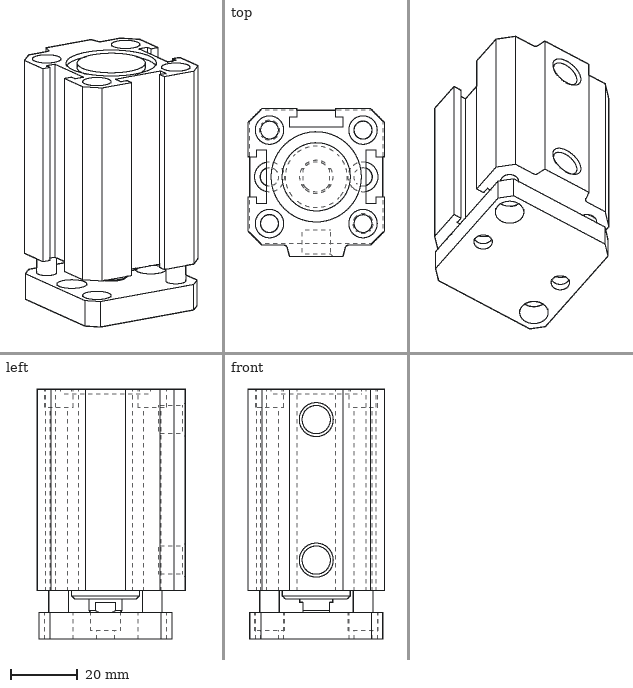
import cadquery as cq
import math

TOTAL_HEIGHT = 75.0
PLATE_THICKNESS = 8.0
PLATE_GAP = 6.5
PLATE_TOP = PLATE_THICKNESS
HOUSING_BOTTOM = PLATE_TOP + PLATE_GAP
HOUSING_HEIGHT = TOTAL_HEIGHT - HOUSING_BOTTOM

HOLE_OFFSET = 14.0

HOUSING_WIDTH = 41.0
HOUSING_CHAMFER = 4.2
HALF_WIDTH = HOUSING_WIDTH / 2

PORT_PAD_FACE_WIDTH = 16.05
PORT_PAD_HEIGHT = 3.45
PORT_PAD_FLANK_ANGLE = 15.0
PORT_PAD_ROOT_RADIUS = 1.0

SLOT_INNER_WIDTH = 16.05
SLOT_DEPTH = 5.55
SLOT_LIP_THICKNESS = 2.55
SIDE_SLOT_OPENING = 12.0
REAR_SLOT_OPENING = 11.6

CORNER_HOLE_DIAMETER = 5.3
CORNER_COUNTERBORE_DIAMETER = 8.55
CORNER_COUNTERBORE_DEPTH = 5.5

END_RECESS_DIAMETER = 27.1
END_RECESS_DEPTH = 1.5
END_DISC_DIAMETER = 20.5

PORT_DIAMETER = 8.5
PORT_MOUTH_DIAMETER = 10.2
PORT_DEPTH = 8.0
PORT_DISTANCE_FROM_ENDS = 9.15

COLLAR_DIAMETER = 20.5
COLLAR_HEIGHT = 2.55
COLLAR_CHAMFER = 1.0

PLATE_WIDTH = 40.0
PLATE_CHAMFER = 3.4
PLATE_CORNER_HOLE_DIAMETER = 8.55
PLATE_SIDE_HOLE_DIAMETER = 5.5
PLATE_SIDE_COUNTERBORE_DIAMETER = 9.0
PLATE_SIDE_COUNTERBORE_DEPTH = 5.5

PISTON_ROD_DIAMETER = 10.0
PISTON_ROD_END_DIAMETER = 9.0
PISTON_ROD_FLATS = 8.0
PISTON_ROD_ROUND_LENGTH = 1.0
GUIDE_ROD_DIAMETER = 6.0

ALL_CORNERS = [(sx * HOLE_OFFSET, sy * HOLE_OFFSET) for sx in (-1, 1) for sy in (-1, 1)]
OPEN_CORNERS = [(x, y) for x, y in ALL_CORNERS if x * y > 0]
GUIDE_ROD_CORNERS = [(x, y) for x, y in ALL_CORNERS if x * y < 0]


def cylinder(diameter, bottom, top, centres):
    """Vertical cylinders between two heights, one at each centre."""
    return (
        cq.Workplane("XY", origin=(0, 0, bottom))
        .pushPoints(centres)
        .circle(diameter / 2)
        .extrude(top - bottom)
    )


def chamfered_square(width, chamfer, bottom, top):
    """Square block with its four vertical edges chamfered."""
    return (
        cq.Workplane("XY", origin=(0, 0, bottom))
        .rect(width, width)
        .extrude(top - bottom)
        .edges("|Z")
        .chamfer(chamfer)
    )


def port_pad():
    """Tapered pad on the -Y side, with concave fillets where it meets the wall."""
    flank_angle = math.radians(PORT_PAD_FLANK_ANGLE)
    half_face = PORT_PAD_FACE_WIDTH / 2
    half_root = half_face + PORT_PAD_HEIGHT * math.tan(flank_angle)
    radius = PORT_PAD_ROOT_RADIUS

    tangent_length = radius * math.tan((math.pi / 2 - flank_angle) / 2)
    wall_y = -HALF_WIDTH
    face_y = wall_y - PORT_PAD_HEIGHT
    wall_x = half_root + tangent_length
    flank_x = half_root - tangent_length * math.sin(flank_angle)
    flank_y = wall_y - tangent_length * math.cos(flank_angle)
    mid_angle = (math.pi / 2 + flank_angle) / 2
    mid_x = wall_x - radius * math.cos(mid_angle)
    mid_y = wall_y - radius + radius * math.sin(mid_angle)

    return (
        cq.Workplane("XY", origin=(0, 0, HOUSING_BOTTOM))
        .moveTo(-half_face, face_y)
        .lineTo(half_face, face_y)
        .lineTo(flank_x, flank_y)
        .threePointArc((mid_x, mid_y), (wall_x, wall_y))
        .lineTo(wall_x, 0)
        .lineTo(-wall_x, 0)
        .lineTo(-wall_x, wall_y)
        .threePointArc((-mid_x, mid_y), (-flank_x, flank_y))
        .close()
        .extrude(HOUSING_HEIGHT)
    )


def t_slot(opening_width, turn):
    """Full-height T-slot cutter for the +X side, turned about Z by `turn` degrees."""
    slot_floor = HALF_WIDTH - SLOT_DEPTH
    lip_back = HALF_WIDTH - SLOT_LIP_THICKNESS
    section_start = cq.Workplane("XY", origin=(0, 0, HOUSING_BOTTOM))
    opening = (
        section_start
        .center((slot_floor + HALF_WIDTH) / 2, 0)
        .rect(SLOT_DEPTH, opening_width)
        .extrude(HOUSING_HEIGHT)
    )
    wide_part = (
        section_start
        .center((slot_floor + lip_back) / 2, 0)
        .rect(lip_back - slot_floor, SLOT_INNER_WIDTH)
        .extrude(HOUSING_HEIGHT)
    )
    return opening.union(wide_part).rotate((0, 0, 0), (0, 0, 1), turn)


def port(height):
    """Blind port cutter with a chamfered mouth, entering from the pad face."""
    face_y = -HALF_WIDTH - PORT_PAD_HEIGHT
    bore_radius = PORT_DIAMETER / 2
    mouth_radius = PORT_MOUTH_DIAMETER / 2
    chamfer = mouth_radius - bore_radius
    return (
        cq.Workplane("XY")
        .moveTo(0, face_y)
        .lineTo(mouth_radius, face_y)
        .lineTo(bore_radius, face_y + chamfer)
        .lineTo(bore_radius, face_y + PORT_DEPTH)
        .lineTo(0, face_y + PORT_DEPTH)
        .close()
        .revolve(360, (0, 0), (0, 1))
        .translate((0, 0, height))
    )


def make_housing():
    """Cylinder housing: slotted profile, ports, corner holes, end recess and rod collar."""
    body = chamfered_square(HOUSING_WIDTH, HOUSING_CHAMFER, HOUSING_BOTTOM, TOTAL_HEIGHT)
    body = body.union(port_pad())

    for opening, turn in ((SIDE_SLOT_OPENING, 0), (REAR_SLOT_OPENING, 90), (SIDE_SLOT_OPENING, 180)):
        body = body.cut(t_slot(opening, turn))

    for height in (HOUSING_BOTTOM + PORT_DISTANCE_FROM_ENDS, TOTAL_HEIGHT - PORT_DISTANCE_FROM_ENDS):
        body = body.cut(port(height))

    counterbore_floor = TOTAL_HEIGHT - CORNER_COUNTERBORE_DEPTH
    body = body.cut(cylinder(CORNER_HOLE_DIAMETER, HOUSING_BOTTOM, TOTAL_HEIGHT, ALL_CORNERS))
    body = body.cut(cylinder(CORNER_COUNTERBORE_DIAMETER, counterbore_floor, TOTAL_HEIGHT, ALL_CORNERS))

    recess_floor = TOTAL_HEIGHT - END_RECESS_DEPTH
    recess = cylinder(END_RECESS_DIAMETER, recess_floor, TOTAL_HEIGHT, [(0, 0)])
    disc = cylinder(END_DISC_DIAMETER, recess_floor, TOTAL_HEIGHT, [(0, 0)])
    body = body.cut(recess.cut(disc))

    collar = cylinder(COLLAR_DIAMETER, HOUSING_BOTTOM - COLLAR_HEIGHT, HOUSING_BOTTOM, [(0, 0)])
    collar = collar.faces("<Z").chamfer(COLLAR_CHAMFER)
    return body.union(collar)


def piston_rod():
    """Rod from plate to collar, chamfered at the plate, with flats facing -X and +X."""
    rod_top = HOUSING_BOTTOM - COLLAR_HEIGHT
    rod = cylinder(PISTON_ROD_DIAMETER, PLATE_TOP, rod_top, [(0, 0)])
    rod = rod.faces("<Z").chamfer((PISTON_ROD_DIAMETER - PISTON_ROD_END_DIAMETER) / 2)

    flats_top = rod_top - PISTON_ROD_ROUND_LENGTH
    flats_height = flats_top - PLATE_TOP
    between_flats = (
        cq.Workplane("XY", origin=(0, 0, PLATE_TOP))
        .rect(PISTON_ROD_FLATS, PISTON_ROD_DIAMETER)
        .extrude(flats_height)
    )
    around_flats = (
        cq.Workplane("XY", origin=(0, 0, PLATE_TOP))
        .rect(PISTON_ROD_DIAMETER, PISTON_ROD_DIAMETER)
        .extrude(flats_height)
    )
    return rod.cut(around_flats.cut(between_flats))


def make_tool_plate():
    """Moving plate with piston rod and two guide rods whose ends meet the housing."""
    plate = chamfered_square(PLATE_WIDTH, PLATE_CHAMFER, 0, PLATE_TOP)
    plate = plate.cut(cylinder(PLATE_CORNER_HOLE_DIAMETER, 0, PLATE_TOP, OPEN_CORNERS))

    side_centres = [(-HOLE_OFFSET, 0), (HOLE_OFFSET, 0)]
    counterbore_floor = PLATE_TOP - PLATE_SIDE_COUNTERBORE_DEPTH
    plate = plate.cut(cylinder(PLATE_SIDE_HOLE_DIAMETER, 0, PLATE_TOP, side_centres))
    plate = plate.cut(
        cylinder(PLATE_SIDE_COUNTERBORE_DIAMETER, counterbore_floor, PLATE_TOP, side_centres)
    )

    guide_rods = cylinder(GUIDE_ROD_DIAMETER, PLATE_TOP, HOUSING_BOTTOM, GUIDE_ROD_CORNERS)
    return plate.union(piston_rod()).union(guide_rods)


housing = make_housing()
tool_plate = make_tool_plate()

result = cq.Compound.makeCompound([housing.val(), tool_plate.val()])